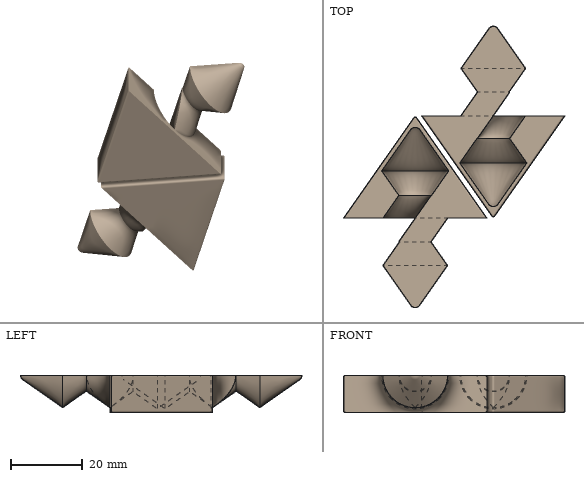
import cadquery as cq
import math

overall_x = 62.25
overall_y = 79.14
thickness = 10.47

side_angle = 55.0
slope = math.tan(math.radians(side_angle))
base_width = 40.3
block_height = base_width / 2 * slope
edge_radius = 0.5

plug_radius = 9.09
plug_neck_radius = 4.45
plug_neck_y = 6.68
plug_tip_radius = 1.5

socket_radius = 9.42
socket_neck_radius = 4.6
socket_neck_y = 6.4
socket_tip_radius = 1.65


def cone_rise(wide_radius, narrow_radius):
    """Axial length of a cone between two radii."""
    return (wide_radius - narrow_radius) * slope


def tip_setback(ball_radius):
    """Axial length that a ball tip takes off a sharp cone."""
    return ball_radius * (1 / math.cos(math.radians(side_angle)) - 1)


plug_length = (plug_neck_y + cone_rise(plug_radius, plug_neck_radius)
               + cone_rise(plug_radius, 0) - tip_setback(plug_tip_radius))
pair_offset_x = (overall_x - base_width) / 2
pair_offset_y = overall_y / 2 - plug_length


def double_cone(wide_radius, neck_radius, neck_y, ball_radius):
    """Flare from y = 0 in to the neck, out to the widest ring, then in to a ball tip; axis along +Y."""
    flare_radius = neck_radius + neck_y / slope
    wide_y = neck_y + cone_rise(wide_radius, neck_radius)
    tip_y = wide_y + cone_rise(wide_radius, 0) - tip_setback(ball_radius)
    ball_center_y = tip_y - ball_radius

    def ball_point(angle):
        """Point of the ball tip at an angle from the axis."""
        return ball_radius * math.sin(angle), ball_center_y + ball_radius * math.cos(angle)

    tangent_angle = math.radians(side_angle)
    return (
        cq.Workplane("XY")
        .moveTo(0, 0)
        .lineTo(flare_radius, 0)
        .lineTo(neck_radius, neck_y)
        .lineTo(wide_radius, wide_y)
        .lineTo(*ball_point(tangent_angle))
        .threePointArc(ball_point(tangent_angle / 2), (0, tip_y))
        .close()
        .revolve(360, (0, 0, 0), (0, 1, 0))
    )


def flare_half(neck_y):
    """Slab covering the flare's length, on the +X side of the slanted plane through the base middle."""
    return (
        cq.Workplane("XY")
        .polyline([(0, 0), (base_width, 0), (base_width, neck_y), (neck_y / slope, neck_y)])
        .close()
        .extrude(thickness, both=True)
    )


def block():
    """Triangular block with rounded slanted sides and apex; its base edges stay sharp."""
    return (
        cq.Workplane("XY")
        .polyline([(-base_width / 2, 0), (base_width / 2, 0), (0, block_height)])
        .close()
        .extrude(-thickness)
        .edges("not <Y")
        .fillet(edge_radius)
    )


def hinge_plug():
    """Lower half of the double cone, its flare cut by the slanted plane, pointing along -Y."""
    below_top = cq.Workplane("XY").rect(overall_y, overall_y).extrude(-thickness)
    cone = double_cone(plug_radius, plug_neck_radius, plug_neck_y, plug_tip_radius)
    return (
        cone.cut(flare_half(plug_neck_y))
        .intersect(below_top)
        .rotate((0, 0, 0), (0, 0, 1), 180)
    )


def hinge_socket():
    """Cavity for the neighbour's plug, leaving the slanted wall beside the flare."""
    cone = double_cone(socket_radius, socket_neck_radius, socket_neck_y, socket_tip_radius)
    return cone.cut(flare_half(socket_neck_y))


def hinge_link():
    """One body of the pair: block with its socket cut in and its plug standing out."""
    return block().cut(hinge_socket()).union(hinge_plug())


links = []
for turn in (0, 180):
    link = hinge_link().translate((-pair_offset_x, -pair_offset_y, 0)).rotate((0, 0, 0), (0, 0, 1), turn)
    links.append(link.solids().val())

result = cq.Compound.makeCompound(links)